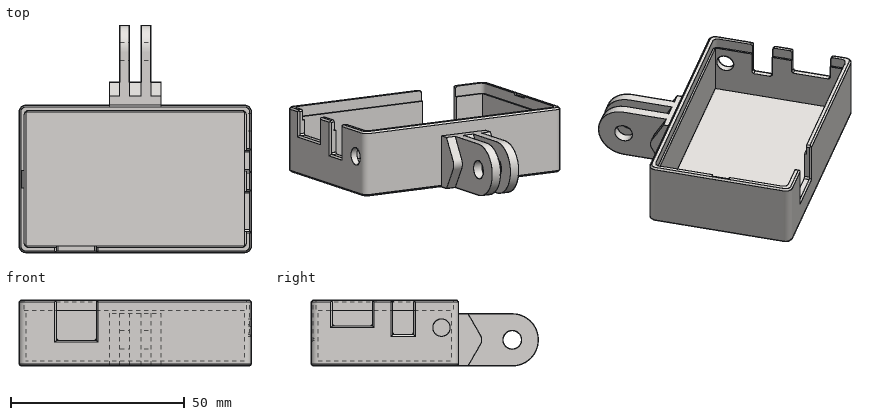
import cadquery as cq
import math

length = 66.8
width = 42.4
height = 18.9
corner_radius = 2.0
edge_chamfer = 0.5
chamfer_angle = 45.0

wall = 2.0
floor = 1.5
rim_wall = 1.5
rim_depth = 3.0
rim_corner_radius = 1.5

front_opening = (10.75, 22.25, 7.35)
right_openings = ((23.45, 29.45, 9.0), (6.15, 17.65, 11.5))

wall_hole_diameter = 5.0
wall_hole_y = 37.5
wall_hole_z = 11.0

notch_start = 18.65
notch_end = 23.65
notch_skin = 0.8
notch_depth = 0.5

lug_height = 15.0
lug_reach = 22.9
lug_radius = lug_height / 2
lug_hole_diameter = 5.3
prong_thickness = 2.8
prong_gap = 3.35
base_width = 14.8
base_shoulder = 2.7
base_slope_angle = 60.0
base_nose_radius = 2.7
lug_root = wall / 2


def make_shell():
    body = (
        cq.Workplane("XY")
        .box(length, width, height, centered=False)
        .edges("|Z").fillet(corner_radius)
        .faces("<Z or >Z").edges().chamfer(edge_chamfer)
    )
    cavity = (
        cq.Workplane("XY", origin=(wall, wall, floor))
        .box(length - 2 * wall, width - 2 * wall, height, centered=False)
    )
    rim_recess = (
        cq.Workplane("XY", origin=(rim_wall, rim_wall, height - rim_depth))
        .box(length - 2 * rim_wall, width - 2 * rim_wall, height, centered=False)
        .edges("|Z").fillet(rim_corner_radius)
    )
    return body.cut(cavity).cut(rim_recess)


def make_opening(outer_face, start, end, sill):
    """Cutter for a rim opening. The workplane lies on the outer wall face,
    its normal points outward, its x runs along the wall and its y is height."""
    c = edge_chamfer
    passage = (
        outer_face
        .moveTo(start + c, sill)
        .lineTo(end - c, sill)
        .lineTo(end, sill + c)
        .lineTo(end, height - c)
        .lineTo(end + c, height)
        .lineTo(start - c, height)
        .lineTo(start, height - c)
        .lineTo(start, sill + c)
        .close()
        .extrude(-2 * wall)
    )
    flare = (
        outer_face
        .moveTo(start - c, sill - c)
        .lineTo(end + c, sill - c)
        .lineTo(end + c, height + c)
        .lineTo(start - c, height + c)
        .close()
        .extrude(-c, taper=chamfer_angle)
    )
    return passage.union(flare)


def make_wall_hole():
    return (
        cq.Workplane("YZ", origin=(length - 2 * wall, wall_hole_y, wall_hole_z))
        .circle(wall_hole_diameter / 2)
        .extrude(3 * wall)
    )


def make_notch():
    return (
        cq.Workplane("XY", origin=(notch_skin, notch_start, height - notch_depth))
        .box(rim_wall, notch_end - notch_start, height, centered=False)
    )


def make_lug_base():
    nose = base_shoulder + lug_radius / math.tan(math.radians(base_slope_angle))
    return (
        cq.Workplane("YZ", origin=((length - base_width) / 2, width, 0))
        .moveTo(-lug_root, 0)
        .lineTo(base_shoulder, 0)
        .lineTo(nose, lug_radius)
        .lineTo(base_shoulder, lug_height)
        .lineTo(-lug_root, lug_height)
        .close()
        .extrude(base_width)
        .edges("|X and >Y").fillet(base_nose_radius)
    )


def make_prong(left_side):
    eye = lug_reach - lug_radius
    return (
        cq.Workplane("YZ", origin=(left_side, width, 0))
        .lineTo(eye, 0)
        .threePointArc((lug_reach, lug_radius), (eye, lug_height))
        .lineTo(0, lug_height)
        .close()
        .moveTo(eye, lug_radius)
        .circle(lug_hole_diameter / 2)
        .extrude(prong_thickness)
    )


front_face = cq.Workplane("XZ")
right_face = cq.Workplane("YZ", origin=(length, 0, 0))

result = make_shell().cut(make_opening(front_face, *front_opening))
for opening in right_openings:
    result = result.cut(make_opening(right_face, *opening))
result = result.cut(make_wall_hole()).cut(make_notch()).union(make_lug_base())
for left_side in (length / 2 - prong_gap / 2 - prong_thickness, length / 2 + prong_gap / 2):
    result = result.union(make_prong(left_side))